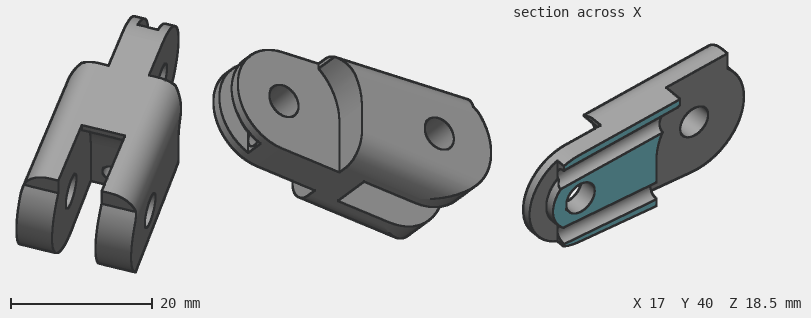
import cadquery as cq
import math

length = 40.0
rear_radius = 8.0
front_radius = 9.0
rear_y = length / 2 - rear_radius
front_y = front_radius - length / 2
pivot_hole_diameter = 5.05
upper_angle = math.asin(0.05)
lower_angle = math.asin((front_radius - rear_radius) / (rear_y - front_y))
stop_y = -17.05

body_width = 17.0
corner_radius = 4.0
tongue_width = 6.0
clevis_gap = 6.4
shoulder_radius = 9.6
shoulder_top_y = 6.0
clevis_clearance_radius = 9.3
clevis_top_y = -5.95

cord_width = 3.0
groove_core_radius = 5.0
groove_wall_y = 15.0
upper_passage_height = 5.15
lower_passage_height = 5.5
lower_passage_angle = math.radians(1.2)

oversize = 2 * length


def upper_flank(y):
    return rear_radius / math.cos(upper_angle) + (rear_y - y) * math.tan(upper_angle)


def lower_flank(y):
    return -rear_radius / math.cos(lower_angle) - (rear_y - y) * math.tan(lower_angle)


def tangent_point(pivot_y, radius, angle, side):
    return (pivot_y + radius * math.sin(angle), side * radius * math.cos(angle))


def extrude_x(sketch, width):
    """Extrude a YZ sketch by the given width, centred on X = 0."""
    return sketch.extrude(width / 2, both=True)


def side_profile(width):
    stop_z = math.sqrt(front_radius**2 - (stop_y - front_y) ** 2)
    sketch = (
        cq.Workplane("YZ")
        .moveTo(*tangent_point(rear_y, rear_radius, upper_angle, 1))
        .lineTo(stop_y, upper_flank(stop_y))
        .lineTo(stop_y, stop_z)
        .threePointArc(
            (front_y - front_radius, 0),
            tangent_point(front_y, front_radius, lower_angle, -1),
        )
        .lineTo(*tangent_point(rear_y, rear_radius, lower_angle, -1))
        .threePointArc(
            (rear_y + rear_radius, 0),
            tangent_point(rear_y, rear_radius, upper_angle, 1),
        )
        .close()
    )
    return extrude_x(sketch, width)


def rounded_wedge():
    """Tapered bar with its four long edges rounded."""
    rear = length / 2
    front = -rear
    corners = [
        (rear, upper_flank(rear)),
        (front, upper_flank(front)),
        (front, lower_flank(front)),
        (rear, lower_flank(rear)),
    ]
    sketch = cq.Workplane("YZ").polyline(corners).close()
    return extrude_x(sketch, body_width).faces("<X or >X").edges("not(|Z)").fillet(corner_radius)


def swing_clearance(pivot_y, outward, radius, top_y, width):
    """Space around a pivot: flat wall below its axis, arc above, flat wall at the top.

    outward is +1 when the space opens toward +Y and -1 toward -Y.
    """
    wall_y = pivot_y - outward * radius
    far_y = pivot_y + outward * oversize
    arc_angle = math.acos(abs(top_y - pivot_y) / radius)
    middle = (
        pivot_y - outward * radius * math.cos(arc_angle / 2),
        radius * math.sin(arc_angle / 2),
    )
    sketch = (
        cq.Workplane("YZ")
        .moveTo(wall_y, -oversize)
        .lineTo(wall_y, 0)
        .threePointArc(middle, (top_y, radius * math.sin(arc_angle)))
        .lineTo(top_y, oversize)
        .lineTo(far_y, oversize)
        .lineTo(far_y, -oversize)
        .close()
    )
    return extrude_x(sketch, width)


def cylinder_x(y, diameter, width):
    start = cq.Vector(-width / 2, y, 0)
    return cq.Workplane(cq.Solid.makeCylinder(diameter / 2, width, start, cq.Vector(1, 0, 0)))


def cord_groove():
    space = cq.Workplane("XY").box(cord_width, length, length).translate(
        (0, groove_wall_y + length / 2, 0)
    )
    return space.cut(cylinder_x(rear_y, 2 * groove_core_radius, cord_width))


def cord_passage(side, height, angle):
    """Round passage from the groove to the clevis gap, spreading from the mid-plane toward the front."""
    direction = cq.Vector(0, -math.cos(angle), side * math.sin(angle))
    axis_point = cq.Vector(0, rear_y, side * height)
    start = axis_point - direction * rear_radius
    span = rear_radius + rear_y - front_y
    return cq.Workplane(cq.Solid.makeCylinder(cord_width / 2, span, start, direction))


body = rounded_wedge().intersect(side_profile(body_width))
body = body.cut(swing_clearance(rear_y, 1, shoulder_radius, shoulder_top_y, body_width))

result = body.union(side_profile(tongue_width))

result = result.cut(swing_clearance(front_y, -1, clevis_clearance_radius, clevis_top_y, clevis_gap))
result = result.cut(cord_groove())
result = result.cut(cord_passage(1, upper_passage_height, upper_angle))
result = result.cut(cord_passage(-1, lower_passage_height, lower_passage_angle))

for pivot_y in (rear_y, front_y):
    result = result.cut(cylinder_x(pivot_y, pivot_hole_diameter, body_width))